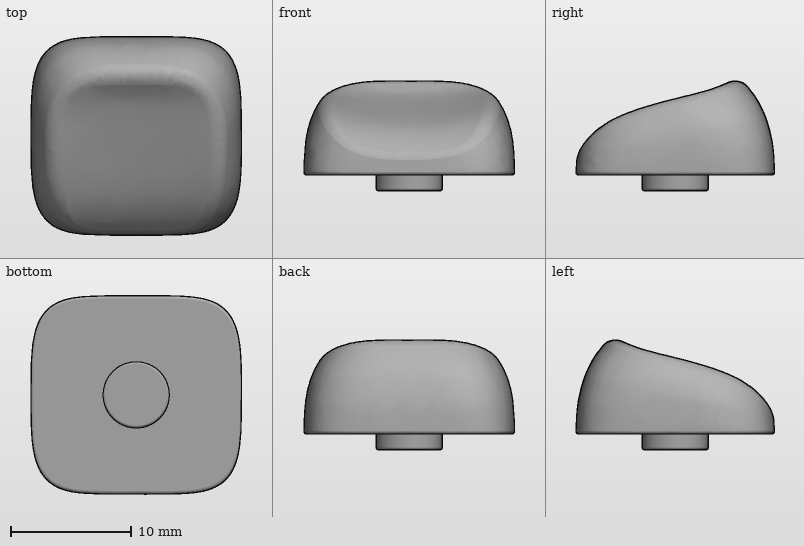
import cadquery as cq
import math

BODY_LENGTH_X = 17.49
BODY_LENGTH_Y = 16.49
BLANK_HEIGHT = 7.2
BLANK_SLOPE = 0.36
SECTION_COUNT = 8
SECTION_POINTS = 48
BASE_EXPONENT_X = 5.0
BASE_EXPONENT_Y = 3.8
BACK_EXPONENT_DROP = 1.8
FRONT_EXPONENT_DROP = 1.2
SIDE_LEAN = 2.2
SIDE_LEAN_POWER = 2.8
BACK_LEAN = 3.9
BACK_LEAN_POWER = 2.3
FRONT_LEAN = 0.8
FRONT_LEAN_POWER = 2.0
BASE_EDGE_RADIUS = 0.25

DISH_HALF_WIDTH = 10.0
DISH_CUT_TOP = 14.0
DISH_STATIONS = [
    (-9.2, 0.1, 1.10),
    (-7.96, 1.83, 1.60),
    (-7.04, 2.78, 1.75),
    (-3.9, 4.50, 1.85),
    (-0.5, 5.61, 1.58),
    (2.0, 6.36, 1.40),
    (4.42, 7.72, 0.60),
    (7.0, 9.4, 0.10),
]
RIM_RADIUS = 1.3

STEM_DIAMETER = 5.5
STEM_LENGTH = 1.3
STEM_EDGE_RADIUS = 0.2


def signed_power(value, exponent):
    """Power of the magnitude, keeping the sign of the value."""
    return math.copysign(abs(value) ** exponent, value)


def body_section(level):
    """Closed superellipse outline at a level from 0 (base) to 1 (uncut top)."""
    half_x = BODY_LENGTH_X / 2 - SIDE_LEAN * level**SIDE_LEAN_POWER
    back_y = BODY_LENGTH_Y / 2 - BACK_LEAN * level**BACK_LEAN_POWER
    front_y = -BODY_LENGTH_Y / 2 + FRONT_LEAN * level**FRONT_LEAN_POWER
    center_y = (back_y + front_y) / 2
    half_y = (back_y - front_y) / 2
    points = []
    for i in range(SECTION_POINTS):
        angle = 2 * math.pi * i / SECTION_POINTS
        drop = BACK_EXPONENT_DROP if angle < math.pi else FRONT_EXPONENT_DROP
        exponent_x = BASE_EXPONENT_X - drop * level
        exponent_y = BASE_EXPONENT_Y - drop * level
        x = half_x * signed_power(math.cos(angle), 2 / exponent_x)
        y = center_y + half_y * signed_power(math.sin(angle), 2 / exponent_y)
        z = level * (BLANK_HEIGHT + BLANK_SLOPE * y)
        points.append(cq.Vector(x, y, z))
    return cq.Wire.assembleEdges([cq.Edge.makeSpline(points, periodic=True)])


def make_body():
    sections = [body_section(i / (SECTION_COUNT - 1)) for i in range(SECTION_COUNT)]
    return cq.Workplane(obj=cq.Solid.makeLoft(sections))


def dish_section(y, floor, rise):
    """Cross-section of the dish cutter: an arc floor closed by a box above it."""
    left = cq.Vector(-DISH_HALF_WIDTH, y, floor + rise)
    right = cq.Vector(DISH_HALF_WIDTH, y, floor + rise)
    top_left = cq.Vector(-DISH_HALF_WIDTH, y, DISH_CUT_TOP)
    top_right = cq.Vector(DISH_HALF_WIDTH, y, DISH_CUT_TOP)
    return cq.Wire.assembleEdges([
        cq.Edge.makeThreePointArc(left, cq.Vector(0, y, floor), right),
        cq.Edge.makeLine(right, top_right),
        cq.Edge.makeLine(top_right, top_left),
        cq.Edge.makeLine(top_left, left),
    ])


def make_dish_cutter():
    sections = [dish_section(y, floor, rise) for y, floor, rise in DISH_STATIONS]
    return cq.Workplane(obj=cq.Solid.makeLoft(sections))


def make_stem():
    stem = cq.Workplane("XY").circle(STEM_DIAMETER / 2).extrude(-STEM_LENGTH)
    return stem.faces("<Z").edges().fillet(STEM_EDGE_RADIUS)


def make_dished_body():
    """Body with the dish cut in, its rim rounded over and its base edge eased."""
    dished = make_body().cut(make_dish_cutter())
    rimmed = dished.edges(">Z").fillet(RIM_RADIUS)
    return rimmed.faces("<Z").edges().fillet(BASE_EDGE_RADIUS)


result = make_dished_body().union(make_stem())